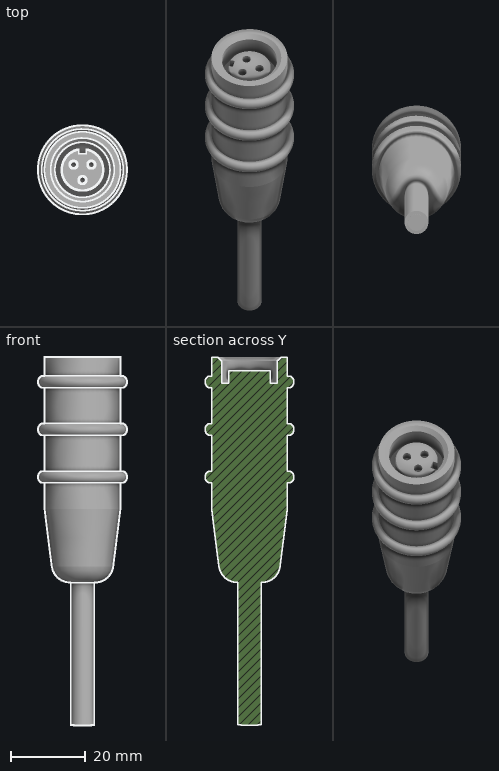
import cadquery as cq
import math

total_length = 98.42

cable_diameter = 6.35
core_diameter = 4.57
core_protrusion = 0.13

body_diameter = 20.32
body_length = 60.25
taper_start = 40.64
taper_end = 55.88
taper_end_radius = 8.25

ring_count = 3
ring_pitch = 12.7
first_ring_depth = 6.65
ring_width = 3.175
ring_diameter = 23.87
ring_flat_radius = 10.9

mouth_diameter = 17.0
mouth_chamfer_depth = 1.05
bore_diameter = 14.73
bore_depth = 7.0

insert_diameter = 11.3
insert_chamfer = 0.2
insert_depth = 3.6
key_width = 2.1
key_floor_offset = 4.3

contact_count = 3
contact_circle_radius = 2.74
first_contact_angle = 30
contact_diameter = 2.29
contact_depth = 2.5
contact_bore_diameter = 1.73
contact_tip_angle = 118

mating_face_z = total_length
body_radius = body_diameter / 2
body_bottom_z = mating_face_z - body_length
insert_top_z = mating_face_z - insert_depth
bore_floor_z = mating_face_z - bore_depth


def revolve_about_z(profile):
    return profile.revolve(360, (0, 0, 0), (0, 1, 0))


def make_cable():
    """Cable jacket with its core standing slightly proud of the cut end."""
    core = cq.Workplane("XY").circle(core_diameter / 2).extrude(body_bottom_z)
    jacket = (
        cq.Workplane("XY")
        .workplane(offset=core_protrusion)
        .circle(cable_diameter / 2)
        .extrude(body_bottom_z - core_protrusion)
    )
    return jacket.union(core)


def make_body():
    """Cylinder, tapered tail and rounded end, revolved about Z."""
    taper_angle = math.atan2(body_radius - taper_end_radius, taper_end - taper_start)
    round_radius = (body_length - taper_end) / (1 - math.sin(taper_angle))
    round_center_radius = taper_end_radius - round_radius * math.cos(taper_angle)
    round_center_z = body_bottom_z + round_radius
    mid_angle = -(math.pi / 2 + taper_angle) / 2
    round_mid = (
        round_center_radius + round_radius * math.cos(mid_angle),
        round_center_z + round_radius * math.sin(mid_angle),
    )
    profile = (
        cq.Workplane("XZ")
        .moveTo(0, mating_face_z)
        .lineTo(body_radius, mating_face_z)
        .lineTo(body_radius, mating_face_z - taper_start)
        .lineTo(taper_end_radius, mating_face_z - taper_end)
        .threePointArc(round_mid, (round_center_radius, body_bottom_z))
        .lineTo(0, body_bottom_z)
        .close()
    )
    return revolve_about_z(profile)


def make_ring(center_z):
    """Disc with flat faces and a bulged rim."""
    half_width = ring_width / 2
    profile = (
        cq.Workplane("XZ")
        .moveTo(0, center_z + half_width)
        .lineTo(ring_flat_radius, center_z + half_width)
        .threePointArc((ring_diameter / 2, center_z), (ring_flat_radius, center_z - half_width))
        .lineTo(0, center_z - half_width)
        .close()
    )
    return revolve_about_z(profile)


def make_recess():
    """Round bore with a conical lead-in at the mating face."""
    lead_in_z = mating_face_z - mouth_chamfer_depth
    profile = (
        cq.Workplane("XZ")
        .moveTo(0, mating_face_z)
        .lineTo(mouth_diameter / 2, mating_face_z)
        .lineTo(bore_diameter / 2, lead_in_z)
        .lineTo(bore_diameter / 2, bore_floor_z)
        .lineTo(0, bore_floor_z)
        .close()
    )
    return revolve_about_z(profile)


def make_contact_hole():
    """Cylindrical hole with a narrower conical bottom, on the Z axis."""
    contact_radius = contact_diameter / 2
    bore_radius = contact_bore_diameter / 2
    shoulder_z = insert_top_z - contact_depth
    tip_depth = bore_radius / math.tan(math.radians(contact_tip_angle / 2))
    profile = (
        cq.Workplane("XZ")
        .moveTo(0, insert_top_z)
        .lineTo(contact_radius, insert_top_z)
        .lineTo(contact_radius, shoulder_z)
        .lineTo(bore_radius, shoulder_z)
        .lineTo(0, shoulder_z - tip_depth)
        .close()
    )
    return revolve_about_z(profile)


def make_insert():
    """Chamfered round insert with a key slot on the +Y side and a ring of contact holes."""
    insert_height = insert_top_z - bore_floor_z
    insert = (
        cq.Workplane("XY")
        .workplane(offset=bore_floor_z)
        .circle(insert_diameter / 2)
        .extrude(insert_height)
        .faces(">Z")
        .chamfer(insert_chamfer)
    )
    key_slot = (
        cq.Workplane("XY")
        .box(key_width, insert_diameter, insert_height, centered=(True, False, False))
        .translate((0, key_floor_offset, bore_floor_z))
    )
    insert = insert.cut(key_slot)
    for index in range(contact_count):
        angle = math.radians(first_contact_angle + index * 360 / contact_count)
        contact_x = contact_circle_radius * math.cos(angle)
        contact_y = contact_circle_radius * math.sin(angle)
        insert = insert.cut(make_contact_hole().translate((contact_x, contact_y, 0)))
    return insert


result = make_body().union(make_cable())
for ring_index in range(ring_count):
    ring_z = mating_face_z - first_ring_depth - ring_index * ring_pitch
    result = result.union(make_ring(ring_z))
result = result.cut(make_recess()).union(make_insert())